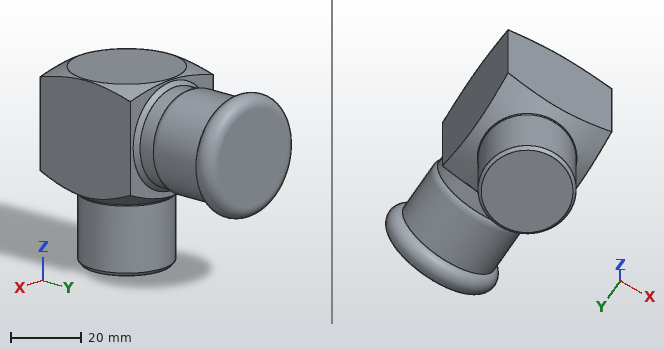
import cadquery as cq
import math

body_width = 35.0
body_half = body_width / 2
body_top = 17.0
body_bottom = -19.9
top_face_radius = 17.0
top_bevel_angle = 20
bottom_face_radius = 28.4 / 2
bottom_bevel_angle = 30

spigot_radius = 28.0 / 2
spigot_end = -41.5
spigot_chamfer_height = 1.1
spigot_chamfer_width = 0.9
root_taper_height = 0.45

socket_end = 49.0
socket_radius = 31.4 / 2
bead_outer_radius = 36.7 / 2
bead_width = 7.4
bead_round = bead_width / 2
neck_radius = 30.0 / 2
flare_length = 1.45
neck_start = body_half + flare_length
neck_end = 24.1
shoulder_length = 2.0
flare_radius = 16.3


def bevelled_body():
    """Square block trimmed by a coaxial cone at the top and at the bottom."""
    block_height = body_top - body_bottom
    block = cq.Workplane("XY").workplane(offset=body_bottom).rect(body_width, body_width).extrude(block_height)
    trim_radius = body_half * math.sqrt(2) + 0.65
    top_drop = (trim_radius - top_face_radius) * math.tan(math.radians(top_bevel_angle))
    bottom_rise = (trim_radius - bottom_face_radius) * math.tan(math.radians(bottom_bevel_angle))
    trim = (
        cq.Workplane("XZ")
        .moveTo(0, body_bottom)
        .lineTo(bottom_face_radius, body_bottom)
        .lineTo(trim_radius, body_bottom + bottom_rise)
        .lineTo(trim_radius, body_top - top_drop)
        .lineTo(top_face_radius, body_top)
        .lineTo(0, body_top)
        .close()
        .revolve(360, (0, 0, 0), (0, 1, 0))
    )
    return block.intersect(trim)


def spigot():
    """Round spigot with a chamfered end and a tapered root under the body."""
    return (
        cq.Workplane("XZ")
        .moveTo(0, 0)
        .lineTo(bottom_face_radius, 0)
        .lineTo(bottom_face_radius, body_bottom)
        .lineTo(spigot_radius, body_bottom - root_taper_height)
        .lineTo(spigot_radius, spigot_end + spigot_chamfer_height)
        .lineTo(spigot_radius - spigot_chamfer_width, spigot_end)
        .lineTo(0, spigot_end)
        .close()
        .revolve(360, (0, 0, 0), (0, 1, 0))
    )


def socket():
    """Flared neck, rounded shoulder, straight sleeve and half-round end bead."""
    bead_centre = bead_outer_radius - bead_round
    bead_start = socket_end - bead_width
    shoulder_drop = socket_radius - neck_radius
    shoulder_round = (shoulder_length**2 + shoulder_drop**2) / (2 * shoulder_drop)
    return (
        cq.Workplane("XY")
        .moveTo(0, 0)
        .lineTo(flare_radius, 0)
        .lineTo(flare_radius, body_half)
        .lineTo(neck_radius, neck_start)
        .lineTo(neck_radius, neck_end)
        .radiusArc((socket_radius, neck_end + shoulder_length), -shoulder_round)
        .lineTo(socket_radius, bead_start)
        .lineTo(bead_centre, bead_start)
        .threePointArc((bead_outer_radius, bead_start + bead_round), (bead_centre, socket_end))
        .lineTo(0, socket_end)
        .close()
        .revolve(360, (0, 0, 0), (0, 1, 0))
    )


result = bevelled_body().union(spigot()).union(socket())